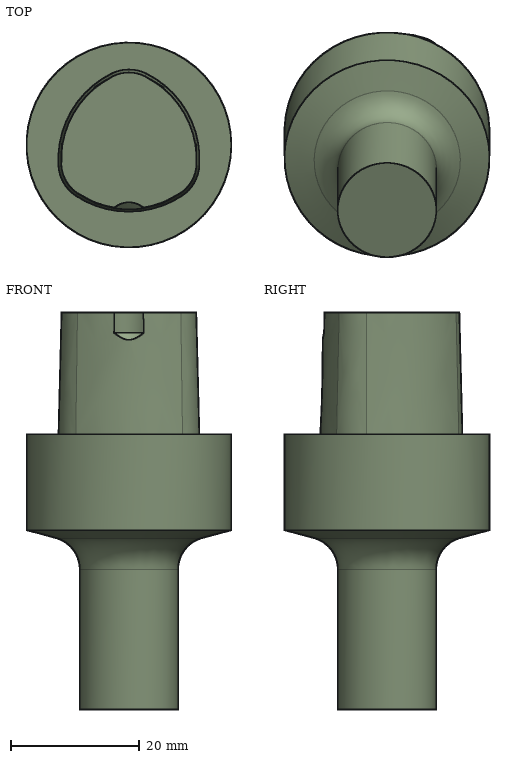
import cadquery as cq
import math

shank_radius = 15.4 / 2

collar_radius = 32 / 2
collar_bottom = 28
collar_top = 43
underside_angle = math.radians(15)
blend_radius = 5

overall_height = 62
lobe_count = 3
lobe_tip_distance = 11.78
flank_distance = 10.42
lobe_radius = 6.05
taper_angle = math.degrees(math.atan(1 / 40))

notch_radius = 3.5
notch_inner_y = -8.95
notch_depth = 3.2
drill_point_angle = 90


def polar(radius, degrees):
    """Point at a distance and direction from the axis."""
    angle = math.radians(degrees)
    return (radius * math.cos(angle), radius * math.sin(angle))


def make_body():
    """Shank and collar, turned about Z."""
    tangent_radius = shank_radius + blend_radius * (1 - math.sin(underside_angle))
    tangent_z = collar_bottom - (collar_radius - tangent_radius) * math.tan(underside_angle)
    blend_center_z = tangent_z - blend_radius * math.cos(underside_angle)

    middle_angle = (math.pi / 2 - underside_angle) / 2
    middle_radius = shank_radius + blend_radius * (1 - math.cos(middle_angle))
    middle_z = blend_center_z + blend_radius * math.sin(middle_angle)

    profile = (
        cq.Workplane("XZ")
        .lineTo(shank_radius, 0)
        .lineTo(shank_radius, blend_center_z)
        .threePointArc((middle_radius, middle_z), (tangent_radius, tangent_z))
        .lineTo(collar_radius, collar_bottom)
        .lineTo(collar_radius, collar_top)
        .lineTo(0, collar_top)
        .close()
    )
    return profile.revolve(360, (0, 0, 0), (0, 1, 0))


def make_stub():
    """Tapered stub: three lobe arcs joined tangentially by three wide flank arcs."""
    lobe_offset = lobe_tip_distance - lobe_radius
    radial_gap = flank_distance - lobe_radius
    flank_offset = (lobe_offset**2 - radial_gap**2) / (2 * radial_gap - lobe_offset)

    pitch = 360 / lobe_count
    flank_center_x, flank_center_y = polar(flank_offset, pitch / 2 + 180)
    normal_angle = math.atan2(-flank_center_y, lobe_offset - flank_center_x)
    junction_x = lobe_offset + lobe_radius * math.cos(normal_angle)
    junction_y = lobe_radius * math.sin(normal_angle)
    junction_distance = math.hypot(junction_x, junction_y)
    junction_angle = math.degrees(math.atan2(junction_y, junction_x))

    first_lobe = 90
    outline = cq.Workplane("XY").workplane(offset=collar_top)
    outline = outline.moveTo(*polar(junction_distance, first_lobe - junction_angle))
    for index in range(lobe_count):
        lobe = first_lobe + index * pitch
        outline = outline.threePointArc(
            polar(lobe_tip_distance, lobe),
            polar(junction_distance, lobe + junction_angle),
        )
        outline = outline.threePointArc(
            polar(flank_distance, lobe + pitch / 2),
            polar(junction_distance, lobe + pitch - junction_angle),
        )
    return outline.close().extrude(overall_height - collar_top, taper=taper_angle)


def make_notch():
    """Vertical drill with a conical point, overlapping the -Y flank of the stub."""
    shoulder_z = overall_height - notch_depth
    point_height = notch_radius / math.tan(math.radians(drill_point_angle / 2))
    drill = (
        cq.Workplane("XZ")
        .moveTo(0, shoulder_z - point_height)
        .lineTo(notch_radius, shoulder_z)
        .lineTo(notch_radius, overall_height)
        .lineTo(0, overall_height)
        .close()
        .revolve(360, (0, 0, 0), (0, 1, 0))
    )
    return drill.translate((0, notch_inner_y - notch_radius, 0))


result = make_body().union(make_stub()).cut(make_notch())